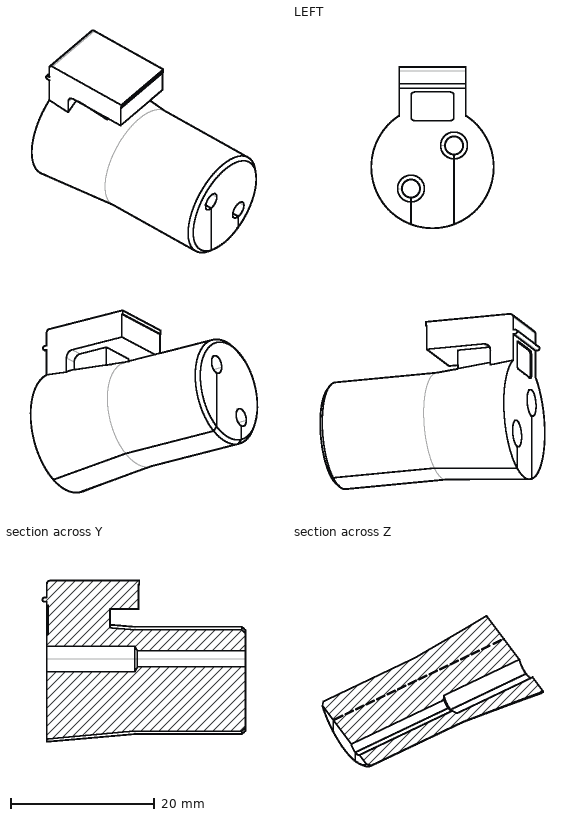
import cadquery as cq
import math

overall_length = 28.4
overall_height = 22.55
head_diameter = 17.15
body_diameter = 15.02
head_length = 12.3
end_chamfer = 0.5

tab_width = 9.35
tab_length = 12.95
tab_nose_radius = 0.5
lip_height = 0.57
lip_overhang = 0.1
shelf_thickness = 4.0
leg_thickness = 3.4
hook_radius = 1.0

rib_width = 5.5
rib_reach = 8.85

bead_width = 0.62
bead_height = 0.6
bead_drop = 2.67

label_width = 6.0
label_height = 4.0
label_drop = 3.5
label_depth = 0.2
label_corner_radius = 0.5

hole_offset = 3.0
hole_front_diameter = 3.75
hole_back_diameter = 2.5
hole_step_angle = 59.0
slit_width = 0.03

body_length = overall_length - bead_height
head_radius = head_diameter / 2
body_radius = body_diameter / 2
tab_top = overall_height - head_radius
shelf_bottom = tab_top - shelf_thickness


def make_body():
    """Conical head, straight shank and chamfered end, turned about X."""
    return (
        cq.Workplane("XY")
        .moveTo(0, 0)
        .lineTo(0, head_radius)
        .lineTo(head_length, body_radius)
        .lineTo(body_length - end_chamfer, body_radius)
        .lineTo(body_length, body_radius - end_chamfer)
        .lineTo(body_length, 0)
        .close()
        .revolve(360, (0, 0, 0), (1, 0, 0))
    )


def make_tab():
    """Hook-shaped side profile, extruded evenly about the XZ plane."""
    shelf_end = tab_length - lip_overhang
    diagonal = math.sqrt(0.5)
    nose_shift = tab_nose_radius * (1 - diagonal)
    hook_shift = hook_radius * (1 - diagonal)
    return (
        cq.Workplane("XZ")
        .moveTo(0, 0)
        .lineTo(0, tab_top - tab_nose_radius)
        .threePointArc((nose_shift, tab_top - nose_shift), (tab_nose_radius, tab_top))
        .lineTo(tab_length, tab_top)
        .lineTo(tab_length, tab_top - lip_height)
        .lineTo(shelf_end, tab_top - lip_height)
        .lineTo(shelf_end, shelf_bottom)
        .lineTo(leg_thickness + hook_radius, shelf_bottom)
        .threePointArc(
            (leg_thickness + hook_shift, shelf_bottom - hook_shift),
            (leg_thickness, shelf_bottom - hook_radius),
        )
        .lineTo(leg_thickness, 0)
        .close()
        .extrude(tab_width / 2, both=True)
    )


def make_rib():
    """Block joining the shelf to the body."""
    return cq.Workplane("XY").box(
        rib_reach, rib_width, shelf_bottom, centered=(False, True, False)
    )


def make_bead():
    """Bar with a half-round nose, standing out from the tab's front."""
    bead_radius = bead_width / 2
    bead_center = tab_top - bead_drop
    straight = bead_height - bead_radius
    return (
        cq.Workplane("XZ")
        .moveTo(0, bead_center - bead_radius)
        .lineTo(-straight, bead_center - bead_radius)
        .threePointArc((-bead_height, bead_center), (-straight, bead_center + bead_radius))
        .lineTo(0, bead_center + bead_radius)
        .close()
        .extrude(tab_width / 2, both=True)
    )


def make_label_recess():
    """Rounded rectangle sunk into the flat face."""
    label_center = tab_top - label_drop - label_height / 2
    return (
        cq.Workplane("YZ")
        .center(0, label_center)
        .rect(label_width, label_height)
        .extrude(label_depth)
        .edges("|X")
        .fillet(label_corner_radius)
    )


def make_stepped_hole(y, z):
    """Wide bore through the head, a cone, then a narrow bore, with a slit to the underside."""
    front_radius = hole_front_diameter / 2
    back_radius = hole_back_diameter / 2
    cone_length = (front_radius - back_radius) / math.tan(math.radians(hole_step_angle))
    hole = (
        cq.Workplane("XY")
        .moveTo(0, 0)
        .lineTo(0, front_radius)
        .lineTo(head_length, front_radius)
        .lineTo(head_length + cone_length, back_radius)
        .lineTo(body_length, back_radius)
        .lineTo(body_length, 0)
        .close()
        .revolve(360, (0, 0, 0), (1, 0, 0))
        .translate((0, y, z))
    )
    slit_height = z + head_radius
    slit = (
        cq.Workplane("XY")
        .box(body_length, slit_width, slit_height, centered=(False, True, False))
        .translate((0, y, -head_radius))
    )
    return hole.union(slit)


result = make_body().union(make_tab()).union(make_rib()).union(make_bead())
result = result.cut(make_label_recess())
for side in (-1, 1):
    result = result.cut(make_stepped_hole(side * hole_offset, -side * hole_offset))